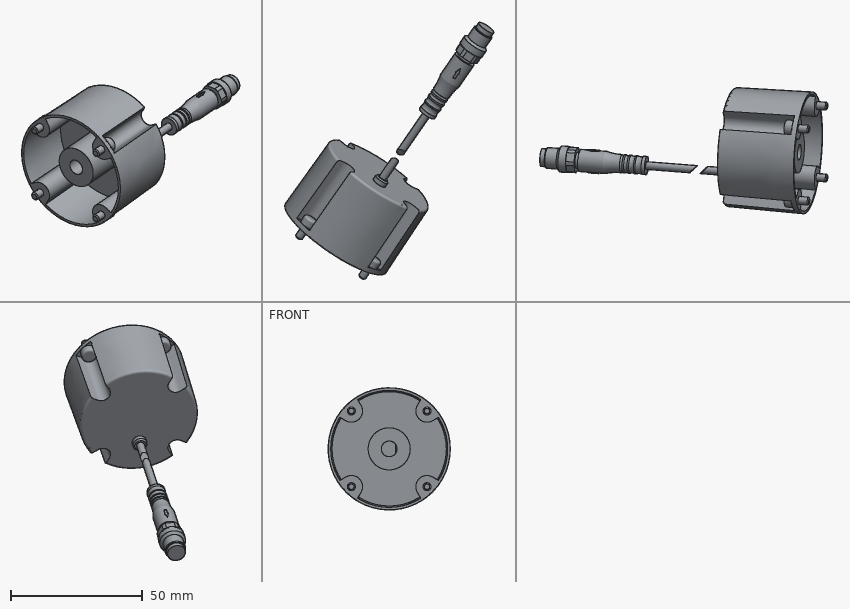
import cadquery as cq
import math


rim_radius = 23.2
housing_length = 30.0
wall = 1.0
floor_depth = 23.0
draft_inset = 0.5
end_fillet = 1.0

boss_radius = 16.0 / 2
bore_radius = 5.9 / 2
boss_recess = 3.3
bore_flat_inset = 0.5

screw_count = 4
screw_circle_radius = 20.3
channel_radius = 3.2
channel_flare = 15
channel_floor = 2.0
shank_diameter = 3.0
shank_tip_diameter = 2.0
shank_overhang = 4.0
shank_tip_length = 0.4
head_diameter = 5.8
head_top = 5.3
head_fillet = 0.9

cable_diameter = 3.0
cable_drop = 10.0
stub_cut = 40.6
lead_cut = 44.7
square_end = 0
oblique_end = -1
grommet_diameter = 5.5
grommet_length = 2.4
grommet_chamfer_height = 0.6
grommet_chamfer_width = 0.5

total_length = 107.9
plug_end = total_length - shank_overhang
tip_diameter = 6.9
sleeve_front = 102.1
sleeve_back = 97.3
sleeve_diameter = 8.0
sleeve_chamfer = 0.3
collar_front = 96.4
collar_diameter = 10.0
hex_front = 93.4
hex_back = 90.2
hex_across_flats = 9.0
hex_sides = 6
hex_corner_diameter = 9.6
neck_diameter = 6.2
body_front = 88.9
body_back = 78.9
body_diameter = 8.5
rib_diameter = 7.0
groove_depth = 0.27
ribs = [(73.4, 72.7), (71.8, 71.1), (69.8, 69.2), (67.2, 66.7), (64.3, 63.0)]
taper_back = ribs[0][0]
plug_back = ribs[-1][1]

arrow_tip = 86.2
arrow_length = 4.6
arrow_head_length = 2.4
arrow_head_width = 1.5
arrow_shaft_width = 1.0
arrow_height = 0.3


def turned(points):
    """Revolve a closed (radius, Y) outline about the Y axis."""
    return cq.Workplane("XY").polyline(points).close().revolve(360, (0, 0, 0), (0, 1, 0))


def cylinder(diameter, y_start, y_end):
    """Cylinder on the Y axis between two stations."""
    return cq.Workplane("XZ", origin=(0, y_start, 0)).circle(diameter / 2).extrude(y_start - y_end)


def cone(radius_start, radius_end, y_end):
    """Solid cone on the Y axis from Y = 0."""
    return turned([(0, 0), (radius_start, 0), (radius_end, y_end), (0, y_end)])


def screw_angles():
    return [(i + 0.5) * 360 / screw_count for i in range(screw_count)]


def flared_prism(radius, angle, y_start, y_end):
    """U-shaped prism round a screw axis whose side walls flare outward past the rim."""
    flare = math.radians(channel_flare)
    tangent_x = screw_circle_radius - radius * math.sin(flare)
    tangent_z = radius * math.cos(flare)
    outer_x = rim_radius + wall
    outer_z = tangent_z + (outer_x - tangent_x) * math.tan(flare)
    return (
        cq.Workplane("XZ", origin=(0, y_start, 0))
        .moveTo(outer_x, outer_z)
        .lineTo(tangent_x, tangent_z)
        .threePointArc((screw_circle_radius - radius, 0), (tangent_x, -tangent_z))
        .lineTo(outer_x, -outer_z)
        .close()
        .extrude(y_start - y_end)
        .rotate((0, 0, 0), (0, 1, 0), angle)
    )


def make_bore():
    """Blind round bore with a flat on its +X side that slopes in toward the floor."""
    outline = [
        (-bore_radius, boss_recess),
        (bore_radius, boss_recess),
        (bore_radius - bore_flat_inset, floor_depth),
        (-bore_radius, floor_depth),
    ]
    envelope = (
        cq.Workplane("XY")
        .polyline(outline)
        .close()
        .extrude(bore_radius, both=True)
    )
    return cylinder(2 * bore_radius, boss_recess, floor_depth).intersect(envelope)


def make_cavity():
    """Drafted hollow that leaves the centre boss and the four screw bosses standing."""
    cavity_radius = rim_radius - wall
    cavity = cone(cavity_radius, cavity_radius - draft_inset, floor_depth)
    cavity = cavity.cut(cylinder(2 * boss_radius, boss_recess, floor_depth))
    for angle in screw_angles():
        cavity = cavity.cut(flared_prism(channel_radius + wall, angle, 0, floor_depth))
    return cavity


def make_screw(angle):
    head = cylinder(head_diameter, channel_floor, head_top).faces(">Y").edges().fillet(head_fillet)
    shank = cylinder(shank_diameter, -shank_overhang, channel_floor)
    chamfer_width = (shank_diameter - shank_tip_diameter) / 2
    shank = shank.faces("<Y").chamfer(shank_tip_length, chamfer_width)
    screw = head.union(shank).translate((screw_circle_radius, 0, 0))
    return screw.rotate((0, 0, 0), (0, 1, 0), angle)


def make_housing():
    housing = cone(rim_radius, rim_radius - draft_inset, housing_length)
    housing = housing.faces(">Y").edges().fillet(end_fillet)
    housing = housing.cut(make_cavity()).cut(make_bore())
    for angle in screw_angles():
        housing = housing.cut(flared_prism(channel_radius, angle, channel_floor, housing_length))
        housing = housing.union(make_screw(angle))
    return housing


def cable(y_start, y_end, slope_start, slope_end):
    """Cable length on the Y axis; each end plane gains Y by its slope times Z."""
    r = cable_diameter / 2
    outline = [
        (y_start - slope_start * r, -r),
        (y_end - slope_end * r, -r),
        (y_end + slope_end * r, r),
        (y_start + slope_start * r, r),
    ]
    envelope = cq.Workplane("YZ").polyline(outline).close().extrude(r, both=True)
    return cylinder(cable_diameter, y_start - r, y_end + r).intersect(envelope)


def make_cable_stub():
    """Grommet on the closed end of the housing with a short, obliquely cut cable."""
    grommet = cylinder(grommet_diameter, housing_length, housing_length + grommet_length)
    grommet = grommet.faces(">Y").chamfer(grommet_chamfer_height, grommet_chamfer_width)
    stub = grommet.union(cable(housing_length, stub_cut, square_end, oblique_end))
    return stub.translate((0, 0, -cable_drop))


def make_strain_relief():
    """Tapered rear sleeve with rounded grooves between its ribs."""
    rib_radius = rib_diameter / 2
    taper_middle = (body_back + taper_back) / 2
    taper_middle_radius = rib_radius + (body_diameter / 2 - rib_radius) / 4
    outline = (
        cq.Workplane("XY")
        .moveTo(0, body_back)
        .lineTo(body_diameter / 2, body_back)
        .threePointArc((taper_middle_radius, taper_middle), (rib_radius, taper_back))
        .lineTo(rib_radius, ribs[0][1])
    )
    for (_, groove_front), (next_front, next_back) in zip(ribs, ribs[1:]):
        groove_middle = (groove_front + next_front) / 2
        outline = outline.threePointArc((rib_radius - groove_depth, groove_middle), (rib_radius, next_front))
        outline = outline.lineTo(rib_radius, next_back)
    return outline.lineTo(0, plug_back).close().revolve(360, (0, 0, 0), (0, 1, 0))


def make_coupling_nut():
    front = turned([
        (0, plug_end),
        (tip_diameter / 2, plug_end),
        (tip_diameter / 2, sleeve_front),
        (sleeve_diameter / 2 - sleeve_chamfer, sleeve_front),
        (sleeve_diameter / 2, sleeve_front - sleeve_chamfer),
        (sleeve_diameter / 2, sleeve_back),
        (collar_diameter / 2, collar_front),
        (collar_diameter / 2, hex_front),
        (0, hex_front),
    ])
    hexagon = (
        cq.Workplane("XZ", origin=(0, hex_back, 0))
        .polygon(hex_sides, hex_across_flats, circumscribed=True)
        .extrude(hex_back - hex_front)
        .rotate((0, 0, 0), (0, 1, 0), 180 / hex_sides)
        .intersect(cylinder(hex_corner_diameter, hex_back, hex_front))
    )
    return front.union(hexagon)


def make_arrows():
    """Arrows pointing to the free end, slightly proud of the top and bottom of the body."""
    barb = arrow_tip - arrow_head_length
    tail = arrow_tip - arrow_length
    half_head = arrow_head_width / 2
    half_shaft = arrow_shaft_width / 2
    outline = [
        (0, arrow_tip),
        (half_head, barb),
        (half_shaft, barb),
        (half_shaft, tail),
        (-half_shaft, tail),
        (-half_shaft, barb),
        (-half_head, barb),
    ]
    return cq.Workplane("XY").polyline(outline).close().extrude(body_diameter / 2 + arrow_height, both=True)


def make_plug():
    """Plug connector and the obliquely cut cable length moulded into it."""
    plug = make_coupling_nut()
    plug = plug.union(cylinder(neck_diameter, body_front, hex_back))
    plug = plug.union(cylinder(body_diameter, body_back, body_front))
    plug = plug.union(make_arrows())
    plug = plug.union(make_strain_relief())
    plug = plug.union(cable(lead_cut, plug_back, oblique_end, square_end))
    return plug.translate((0, 0, -cable_drop))


housing = make_housing()
cable_stub = make_cable_stub()
plug = make_plug()

result = cq.Compound.makeCompound([housing.val(), cable_stub.val(), plug.val()])